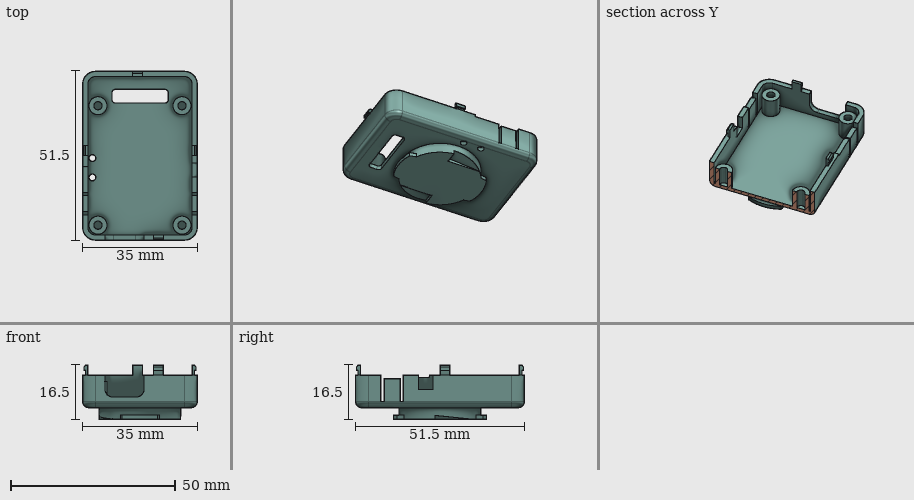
import cadquery as cq
import math

length_x = 35.0
length_y = 51.5
tray_height = 10.0
corner_radius = 4.0
bottom_radius = 2.0
wall = 1.6
floor_thickness = 1.5

mount_radius = 12.5
mount_height = 3.5
tab_radius = 14.2
tab_thickness = 1.25
tab_root_half_width = 5.9
tab_root_y = 11.0
tab_tip_half_width = 5.4
tab_tip_y = math.sqrt(tab_radius**2 - tab_tip_half_width**2)
ramp_depth = 1.2
ramp_deep_end_y = 1.5
ramp_shallow_end_y = -10.3
ramp_inner_x = 8.4

tray_bottom_z = mount_height
floor_z = tray_bottom_z + floor_thickness
rim_z = tray_bottom_z + tray_height
wall_start_z = tray_bottom_z + bottom_radius

post_radius = 2.75
post_hole_radius = 1.25
post_top_z = 11.5
post_x = 12.8
post_rows_y = (15.25, -21.15)

window_center = (0.05, 18.15)
window_size = (17.1, 4.1)
window_corner_radius = 1.0
light_hole_diameter = 2.0
light_hole_x = -14.5
light_hole_rows_y = (-0.7, -6.6)

cutout_left_x = -10.7
cutout_width = 12.0
cutout_bottom_z = 6.75
cutout_radius = 2.6

back_slit_span_y = (-12.05, -11.25)
front_slit_span_y = (-18.0, -17.0)
tongue_span_y = (front_slit_span_y[1], back_slit_span_y[0])
tongue_top_z = 12.4

left_recess_start_y = -3.2
left_recess_depth = 0.7
left_recess_fillet = 0.3
right_recess_span_y = (-6.5, -2.15)
right_recess_bottom_z = 9.1

clip_width = 3.0
clip_height = 3.0
end_clip_thickness = 0.85
side_clip_thickness = 0.72
hook_reach = 0.5
hook_top_drop = 0.6
hook_bottom_drop = 1.6
side_clip_y = 1.55
back_clip_x = -0.7
front_clip_x = 5.6

inner_half_x = length_x / 2 - wall
inner_half_y = length_y / 2 - wall


def box_between(x_span, y_span, z_span):
    """Axis-aligned box given by its extent along each axis."""
    size = [high - low for low, high in (x_span, y_span, z_span)]
    corner = (x_span[0], y_span[0], z_span[0])
    return cq.Workplane("XY").box(*size, centered=False).translate(corner)


def make_tray():
    outer = cq.Workplane("XY").workplane(offset=tray_bottom_z).rect(length_x, length_y).extrude(tray_height)
    outer = outer.edges("|Z").fillet(corner_radius)
    outer = outer.faces("<Z").edges().fillet(bottom_radius)
    cavity = cq.Workplane("XY").workplane(offset=floor_z).rect(2 * inner_half_x, 2 * inner_half_y)
    cavity = cavity.extrude(tray_height).edges("|Z").fillet(corner_radius - wall)
    return outer.cut(cavity)


def make_mount():
    mount = cq.Workplane("XY").circle(mount_radius).extrude(mount_height)
    tab_outline = [
        (-tab_root_half_width, 0),
        (-tab_root_half_width, tab_root_y),
        (-tab_tip_half_width, tab_tip_y),
        (-tab_tip_half_width, tab_radius),
        (tab_tip_half_width, tab_radius),
        (tab_tip_half_width, tab_tip_y),
        (tab_root_half_width, tab_root_y),
        (tab_root_half_width, 0),
    ]
    tab = cq.Workplane("XY").polyline(tab_outline).close().extrude(tab_thickness)
    tab = tab.intersect(cq.Workplane("XY").circle(tab_radius).extrude(tab_thickness))
    ramp_outline = [(ramp_deep_end_y, 0), (ramp_deep_end_y, ramp_depth), (ramp_shallow_end_y, 0)]
    ramp = cq.Workplane("YZ").polyline(ramp_outline).close()
    ramp = ramp.extrude(ramp_inner_x - mount_radius).translate((-ramp_inner_x, 0, 0))
    for turn in (0, 180):
        mount = mount.union(tab.rotate((0, 0, 0), (0, 0, 1), turn))
        mount = mount.cut(ramp.rotate((0, 0, 0), (0, 0, 1), turn))
    return mount


def add_posts(body):
    centers = [(side * post_x, y) for side in (-1, 1) for y in post_rows_y]
    height = post_top_z - floor_z
    base = cq.Workplane("XY").workplane(offset=floor_z).pushPoints(centers)
    posts = base.circle(post_radius).extrude(height)
    holes = base.circle(post_hole_radius).extrude(height)
    return body.union(posts).cut(holes)


def cut_floor_openings(body):
    window = cq.Workplane("XY").workplane(offset=tray_bottom_z)
    window = window.center(*window_center).rect(*window_size).extrude(floor_thickness)
    window = window.edges("|Z").fillet(window_corner_radius)
    holes = cq.Workplane("XY").workplane(offset=tray_bottom_z)
    holes = holes.pushPoints([(light_hole_x, y) for y in light_hole_rows_y])
    return body.cut(window).cut(holes.circle(light_hole_diameter / 2).extrude(floor_thickness))


def cut_front_opening(body):
    cutter = box_between(
        (cutout_left_x, cutout_left_x + cutout_width),
        (-length_y / 2, -inner_half_y),
        (cutout_bottom_z, rim_z),
    )
    return body.cut(cutter.faces("<Z").edges("|Y").fillet(cutout_radius))


def cut_side_walls(body):
    left_x = (-length_x / 2, -inner_half_x)
    right_x = (inner_half_x, length_x / 2)
    left_recess_y = (back_slit_span_y[1], left_recess_start_y)
    for wall_x in (left_x, right_x):
        for slit_y in (back_slit_span_y, front_slit_span_y):
            body = body.cut(box_between(wall_x, slit_y, (wall_start_z, rim_z)))
        body = body.cut(box_between(wall_x, tongue_span_y, (tongue_top_z, rim_z)))
    left_recess = box_between(left_x, left_recess_y, (rim_z - left_recess_depth, rim_z))
    left_recess = left_recess.faces("<Z").edges(">Y").fillet(left_recess_fillet)
    right_recess = box_between(right_x, right_recess_span_y, (right_recess_bottom_z, rim_z))
    return body.cut(left_recess).cut(right_recess)


def make_clip(thickness):
    """Clip at the origin: inner face on y = 0, hook pointing toward +Y, foot on z = 0."""
    hook_tip = thickness + hook_reach
    profile = [
        (0, 0),
        (thickness, 0),
        (thickness, clip_height - hook_bottom_drop),
        (hook_tip, clip_height - hook_bottom_drop),
        (hook_tip, clip_height - hook_top_drop),
        (thickness, clip_height),
        (0, clip_height),
    ]
    return cq.Workplane("YZ").polyline(profile).close().extrude(clip_width / 2, both=True)


def add_clips(body):
    placements = (
        (0, end_clip_thickness, back_clip_x, inner_half_y),
        (90, side_clip_thickness, -inner_half_x, side_clip_y),
        (180, end_clip_thickness, front_clip_x, -inner_half_y),
        (270, side_clip_thickness, inner_half_x, side_clip_y),
    )
    for turn, thickness, x, y in placements:
        clip = make_clip(thickness).rotate((0, 0, 0), (0, 0, 1), turn)
        body = body.union(clip.translate((x, y, rim_z)))
    return body


body = make_tray().union(make_mount())
body = add_posts(body)
body = cut_floor_openings(body)
body = cut_front_opening(body)
body = cut_side_walls(body)
result = add_clips(body)